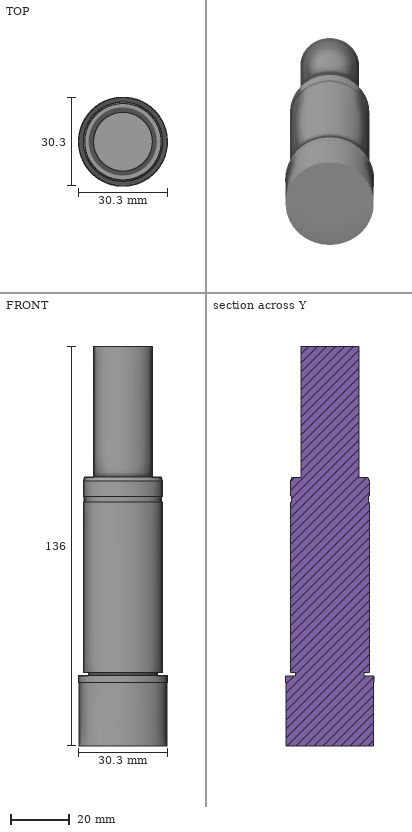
import cadquery as cq

collar_bottom = 21.7
collar_height = 2.3
neck_height = 1.0
groove_bottom = 83.0
groove_width = 2.0
body_top = 91.5
total_height = 136.0

base_diameter = 30.0
collar_diameter = 30.3
neck_diameter = 23.5
body_diameter = 27.0
rod_diameter = 20.0

groove_depth = 0.3
chamfer_height = 1.3
chamfer_width = 0.5

collar_top = collar_bottom + collar_height
body_bottom = collar_top + neck_height
groove_top = groove_bottom + groove_width
groove_diameter = body_diameter - 2 * groove_depth
chamfer_bottom = body_top - chamfer_height
shoulder_diameter = body_diameter - 2 * chamfer_width

sections = [
    (base_diameter, base_diameter, collar_bottom),
    (collar_diameter, collar_diameter, collar_top),
    (neck_diameter, neck_diameter, body_bottom),
    (body_diameter, body_diameter, groove_bottom),
    (groove_diameter, groove_diameter, groove_top),
    (body_diameter, body_diameter, chamfer_bottom),
    (body_diameter, shoulder_diameter, body_top),
    (rod_diameter, rod_diameter, total_height),
]


def half_profile(sections):
    """Closed outline on the -Y side of the Z axis, stacking the sections upwards."""
    points = [(0, 0)]
    bottom = 0
    for bottom_diameter, top_diameter, top in sections:
        start = (-bottom_diameter / 2, bottom)
        if start != points[-1]:
            points.append(start)
        points.append((-top_diameter / 2, top))
        bottom = top
    points.append((0, total_height))
    return cq.Workplane("YZ").polyline(points).close()


result = half_profile(sections).revolve(360, (0, 0, 0), (0, 1, 0))